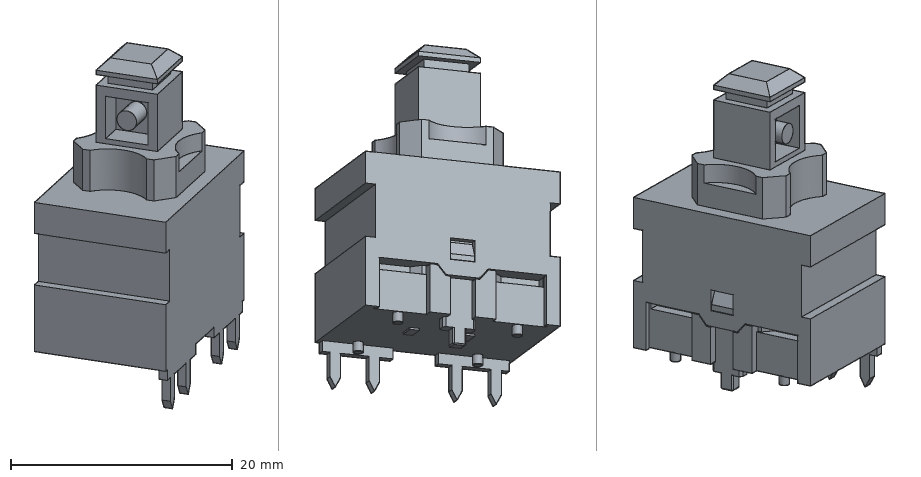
import cadquery as cq


width = 12.8
length = 18.8
height = 30.7

base_bottom = 4.25
base_top = 10.7
cap_bottom = 15.72
cap_top = 18.73
waist_length = 16.9
side_x = -width / 2

collar_size = 10.0
collar_top = 22.72
collar_chamfer = 1.55
notch_chord = 5.5
notch_depth = 1.2
side_notch_height = 1.75
notch_radius = (notch_chord**2 / 4 + notch_depth**2) / (2 * notch_depth)

plunger_size = 6.0
plunger_top = 28.27
neck_size = 4.35
head_bottom = 29.3
head_edge_top = 29.72
head_top_size = 4.0
window_size = 4.1
window_z = 25.27
window_depth = 2.45
peg_diameter = 1.9

recess_depth = 0.8
recess_top = 8.87
panel_top = 7.98
panel_outer_y = 8.05
rib_outer_y = 3.2
guide_half_width = 1.2
slot_depth = 0.28

cavity_front_depth = 0.25
cavity_front_y = 3.55
cavity_chamfer = 0.83

tongue_top_y = 2.45
tongue_bottom_y = 1.63
tongue_bottom = 7.92
joint_gap = 0.1

latch_width = 2.35
latch_bottom = 9.42
latch_lip_top = 9.98
latch_slope_top = 11.25
latch_opening_top = 11.42
latch_lip_depth = 0.12
latch_slope_depth = 0.75

key_thickness = 1.23
key_shoulder_width = 3.13
key_shoulder_bottom = 3.3
key_shoulder_chamfer = 0.25
key_pin_width = 1.3
key_pin_bottom = 1.72
key_pin_chamfer = 0.12

stud_diameter = 0.95
stud_x = 5.05
stud_y = 5.77
stud_bottom = 3.3
stud_chamfer = 0.05
pad_x = -0.3
pad_y = 2.67
pad_width = 1.75
pad_length = 0.92
pad_height = 0.18

terminal_thickness = 0.83
terminal_inner_y = 2.18
terminal_outer_y = 9.03
terminal_bottom = 3.22
prong_width = 1.0
prong_centers = (4.0, 7.77)
tip_height = 0.92


def box(x0, x1, y0, y1, z0, z1):
    """Box between two opposite corners."""
    return cq.Workplane("XY").box(x1 - x0, y1 - y0, z1 - z0, centered=False).translate((x0, y0, z0))


def block(size_x, size_y, z0, z1):
    """Box centred on the Z axis."""
    return box(-size_x / 2, size_x / 2, -size_y / 2, size_y / 2, z0, z1)


def mirrored(solid):
    """The solid together with its mirror image across Y = 0."""
    return solid.union(solid.mirror("XZ"))


def housing():
    base = block(width, length, base_bottom, base_top)
    waist = block(width, waist_length, base_top, cap_bottom)
    cap = block(width, length, cap_bottom, cap_top)
    return base.union(waist).union(cap)


def collar():
    body = block(collar_size, collar_size, cap_top, collar_top)
    body = body.edges("|Z").chamfer(collar_chamfer)
    notch_center = collar_size / 2 - notch_depth + notch_radius
    for side in (-1, 1):
        full_notch = cq.Workplane("XY", origin=(0, side * notch_center, cap_top))
        body = body.cut(full_notch.circle(notch_radius).extrude(collar_top - cap_top))
        side_notch = cq.Workplane("XY", origin=(side * notch_center, 0, collar_top))
        body = body.cut(side_notch.circle(notch_radius).extrude(-side_notch_height))
    return body


def plunger():
    front_y = -plunger_size / 2
    stem = block(plunger_size, plunger_size, collar_top, plunger_top)
    face = cq.Workplane("XZ", origin=(0, front_y, window_z))
    stem = stem.cut(face.rect(window_size, window_size).extrude(-window_depth))
    stem = stem.union(face.circle(peg_diameter / 2).extrude(-window_depth))
    neck = block(neck_size, neck_size, plunger_top, head_bottom)
    rim = block(plunger_size, plunger_size, head_bottom, head_edge_top)
    crown = (
        cq.Workplane("XY", origin=(0, 0, head_edge_top))
        .rect(plunger_size, plunger_size)
        .workplane(offset=height - head_edge_top)
        .rect(head_top_size, head_top_size)
        .loft(ruled=True)
    )
    return stem.union(neck).union(rim).union(crown)


def panel_recess():
    """Sunken panel on the +Y half, with a slot behind the end block and a cavity above the panel."""
    panel_x = side_x + recess_depth
    recess = box(side_x, panel_x, rib_outer_y, panel_outer_y, base_bottom, recess_top)
    slot = box(
        panel_x - slot_depth, panel_x, panel_outer_y, panel_outer_y + slot_depth, base_bottom, recess_top
    )
    front_x = panel_x + cavity_front_depth
    back_x = front_x + cavity_chamfer
    cavity = (
        cq.Workplane("XY", origin=(0, 0, panel_top))
        .moveTo(panel_x, rib_outer_y)
        .lineTo(front_x, rib_outer_y)
        .lineTo(front_x, cavity_front_y)
        .lineTo(back_x, cavity_front_y + cavity_chamfer)
        .lineTo(back_x, panel_outer_y)
        .lineTo(panel_x, panel_outer_y)
        .close()
        .extrude(recess_top - panel_top)
    )
    return recess.union(slot).union(cavity)


def guide_recess():
    """Groove between the ribs, and the narrow joint that outlines the tongue above them."""
    groove = box(
        side_x, side_x + recess_depth, -guide_half_width, guide_half_width, base_bottom, tongue_bottom
    )
    joint = (
        cq.Workplane("YZ", origin=(side_x, 0, 0))
        .moveTo(rib_outer_y, recess_top)
        .lineTo(tongue_top_y, recess_top)
        .lineTo(tongue_bottom_y, tongue_bottom)
        .lineTo(0, tongue_bottom)
        .lineTo(0, tongue_bottom - joint_gap)
        .lineTo(tongue_bottom_y, tongue_bottom - joint_gap)
        .lineTo(tongue_top_y, recess_top - joint_gap)
        .lineTo(rib_outer_y, recess_top - joint_gap)
        .close()
        .extrude(recess_depth)
    )
    return groove.union(mirrored(joint))


def latch_opening():
    """Opening whose floor is a latch with a vertical lip and a face sloping inwards above it."""
    return (
        cq.Workplane("XZ", origin=(side_x, latch_width / 2, 0))
        .moveTo(0, latch_bottom)
        .lineTo(latch_lip_depth, latch_bottom)
        .lineTo(latch_lip_depth, latch_lip_top)
        .lineTo(latch_slope_depth, latch_slope_top)
        .lineTo(latch_slope_depth, latch_opening_top)
        .lineTo(0, latch_opening_top)
        .close()
        .extrude(latch_width)
    )


def center_key():
    key_x = side_x + recess_depth + key_thickness / 2
    shoulder = block(key_thickness, key_shoulder_width, key_shoulder_bottom, base_bottom)
    shoulder = shoulder.edges("|Z").chamfer(key_shoulder_chamfer)
    pin = block(key_thickness, key_pin_width, key_pin_bottom, base_bottom)
    pin = pin.edges("|Z or <Z").chamfer(key_pin_chamfer)
    return shoulder.union(pin).translate((key_x, 0, 0))


def studs():
    stud_places = [(x, y) for x in (-stud_x, stud_x) for y in (-stud_y, stud_y)]
    return (
        cq.Workplane("XY", origin=(0, 0, stud_bottom))
        .pushPoints(stud_places)
        .circle(stud_diameter / 2)
        .extrude(base_bottom - stud_bottom)
        .faces("<Z")
        .chamfer(stud_chamfer)
    )


def pads():
    return (
        cq.Workplane("XY", origin=(0, 0, base_bottom))
        .pushPoints([(pad_x, -pad_y), (pad_x, pad_y)])
        .rect(pad_width, pad_length)
        .extrude(-pad_height)
    )


def terminal():
    """Terminal plate on the +Y half with two pointed prongs."""
    inner_x = width / 2 - terminal_thickness
    plate = box(inner_x, width / 2, terminal_inner_y, terminal_outer_y, terminal_bottom, base_bottom)
    for center_y in prong_centers:
        prong = (
            cq.Workplane("YZ", origin=(inner_x, center_y, 0))
            .moveTo(0, 0)
            .lineTo(prong_width / 2, tip_height)
            .lineTo(prong_width / 2, terminal_bottom)
            .lineTo(-prong_width / 2, terminal_bottom)
            .lineTo(-prong_width / 2, tip_height)
            .close()
            .extrude(terminal_thickness)
        )
        plate = plate.union(prong)
    return plate


result = housing().cut(mirrored(panel_recess())).cut(guide_recess()).cut(latch_opening())
for feature in (collar(), plunger(), center_key(), studs(), pads(), mirrored(terminal())):
    result = result.union(feature)